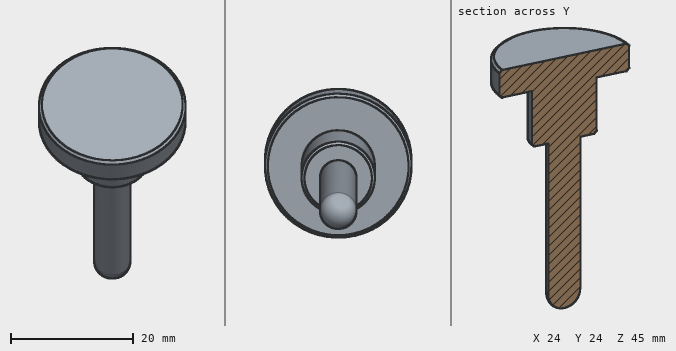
import cadquery as cq

total_length = 45.0
head_diameter = 24.0
head_thickness = 5.0
collar_diameter = head_diameter / 2
collar_length = 2 * head_thickness
pin_diameter = head_diameter / 4
edge_chamfer = 0.5

head_bottom = total_length - head_thickness
collar_bottom = head_bottom - collar_length
pin_radius = pin_diameter / 2


def cylinder(diameter, bottom, length):
    """Upright cylinder centred on the Z axis."""
    return cq.Workplane("XY").workplane(offset=bottom).circle(diameter / 2).extrude(length)


head = cylinder(head_diameter, head_bottom, head_thickness).edges().chamfer(edge_chamfer)

collar = cylinder(collar_diameter, collar_bottom, collar_length).faces("<Z").edges().chamfer(edge_chamfer)

shank = cylinder(pin_diameter, pin_radius, collar_bottom - pin_radius)
tip = cq.Workplane("XY").sphere(pin_radius).translate((0, 0, pin_radius))

result = head.union(collar).union(shank).union(tip)